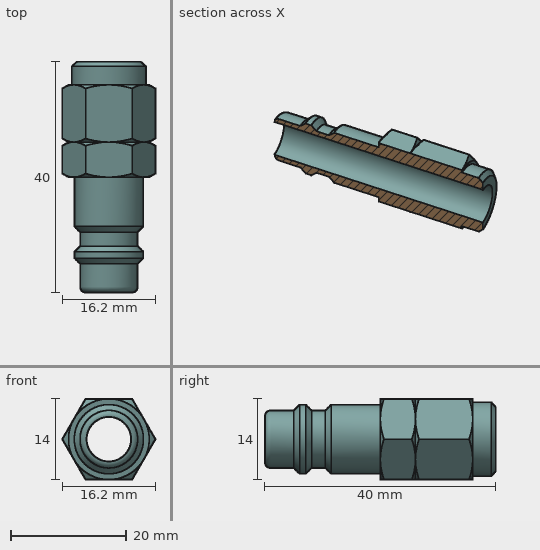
import cadquery as cq
import math

length = 40.0
hex_flats = 14.0
hex_corner_radius = hex_flats / math.sqrt(3)
hex_chamfer_angle = math.radians(30)

nose_radius = 5.0
nose_rounding = 1.0
shank_radius = 6.0
shoulder = shank_radius - nose_radius
collar_start = 5.0
collar_end = 8.1
groove_end = 10.5

front_nut_start = 20.0
nut_joint = 26.1
rear_nut_end = 36.0

tail_radius = 6.45
tail_chamfer_length = 0.8
tail_chamfer_depth = 0.9

bore_radius = 3.85


def plug_body():
    """Turned nose, locking collar, shank and tail."""
    arc_offset = nose_rounding * math.sqrt(0.5)
    arc_middle = (
        nose_radius - nose_rounding + arc_offset,
        nose_rounding - arc_offset,
    )
    return (
        cq.Workplane("XY")
        .moveTo(0, 0)
        .lineTo(nose_radius - nose_rounding, 0)
        .threePointArc(arc_middle, (nose_radius, nose_rounding))
        .lineTo(nose_radius, collar_start)
        .lineTo(shank_radius, collar_start + shoulder)
        .lineTo(shank_radius, collar_end - shoulder)
        .lineTo(nose_radius, collar_end)
        .lineTo(nose_radius, groove_end)
        .lineTo(shank_radius, groove_end + shoulder)
        .lineTo(shank_radius, front_nut_start)
        .lineTo(tail_radius, front_nut_start)
        .lineTo(tail_radius, length - tail_chamfer_length)
        .lineTo(tail_radius - tail_chamfer_depth, length)
        .lineTo(0, length)
        .close()
        .revolve(360, (0, 0), (0, 1))
    )


def hex_nut(start, end):
    """Hexagon with corners on X, both ends turned to a cone touching the flats."""
    hexagon = (
        cq.Workplane("XZ", origin=(0, start, 0))
        .polygon(6, 2 * hex_corner_radius)
        .extrude(start - end)
    )
    face_radius = hex_flats / 2
    chamfer_length = (hex_corner_radius - face_radius) * math.tan(hex_chamfer_angle)
    envelope = (
        cq.Workplane("XY")
        .moveTo(0, start)
        .lineTo(face_radius, start)
        .lineTo(hex_corner_radius, start + chamfer_length)
        .lineTo(hex_corner_radius, end - chamfer_length)
        .lineTo(face_radius, end)
        .lineTo(0, end)
        .close()
        .revolve(360, (0, 0), (0, 1))
    )
    return hexagon.intersect(envelope)


def bore():
    """Plain through hole along the axis."""
    return cq.Workplane("XZ").circle(bore_radius).extrude(-length)


result = (
    plug_body()
    .union(hex_nut(front_nut_start, nut_joint))
    .union(hex_nut(nut_joint, rear_nut_end))
    .cut(bore())
    .translate((0, -length / 2, 0))
)